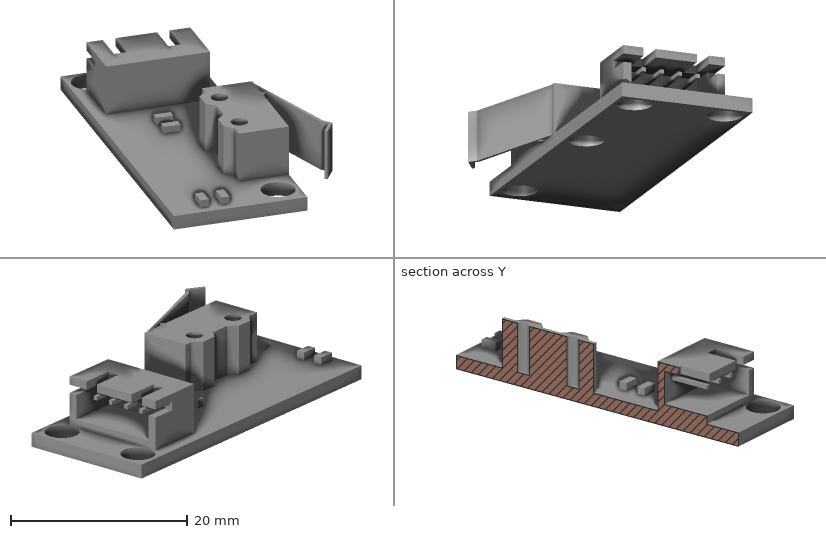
import cadquery as cq

board_length = 40
board_width = 16
board_thickness = 1.7
mount_hole_diameter = 4
mount_hole_inset = 2.5
middle_hole_x = 16.95
right_hole_x = 36.95

part_height = 6

connector_x = 4.5
connector_y = 1.55
connector_length = 7.0
connector_width = 12.5
connector_wall = 1.0
top_slot_length = 4
top_slot_width = 1.5
top_slot_offsets = (1.95, 8.5)
side_slot_length = 3.0
side_slot_height = 1.0
pin_size = 0.5
pin_pitch = 2.2
pin_count = 4
first_pin_offset = 2.9
pin_height = 3.75
pin_recess = 1.0

switch_x = 20.5
switch_length = 13.0
switch_depth = 6
bump_width = 4
bump_depth = 1.0
bump_offsets = (1.0, 7.5)
switch_hole_diameter = 2
switch_hole_offsets = (2.95, 9.95)
switch_hole_y = 11.1
button_x = 24
button_height = 0.5
lever_outline = [
    (21.15, board_width),
    (33.25, 20.2),
    (34.1, 21.0),
    (36.15, 19.7),
    (35.95, 19.45),
    (34.15, 20.5),
    (33.45, 19.85),
    (22.1, board_width),
]

chip_length = 2
chip_width = 1.0
chip_height = 1.0
upright_chip_corners = [(15.2, 6), (17.75, 6)]
flat_chip_corners = [(37.0, 3.5), (37.0, 6)]


def block(corner, size):
    """Box from its minimum corner and its X, Y, Z lengths."""
    return cq.Workplane("XY").box(*size, centered=False).translate(corner)


def on_board(outline):
    """Prism of full part height standing at board-top level."""
    plane = cq.Workplane("XY").workplane(offset=board_thickness)
    return plane.polyline(outline).close().extrude(part_height)


def make_board():
    far_y = board_width - mount_hole_inset
    hole_centres = [
        (mount_hole_inset, mount_hole_inset),
        (mount_hole_inset, far_y),
        (middle_hole_x, far_y),
        (right_hole_x, far_y),
    ]
    circles = cq.Workplane("XY").pushPoints(hole_centres).circle(mount_hole_diameter / 2)
    holes = circles.extrude(board_thickness)
    return block((0, 0, 0), (board_length, board_width, board_thickness)).cut(holes)


def make_connector():
    housing = block(
        (connector_x, connector_y, board_thickness),
        (connector_length, connector_width, part_height),
    )
    cavity_length = connector_length - connector_wall
    cavity = block(
        (connector_x, connector_y + connector_wall, board_thickness + connector_wall),
        (cavity_length, connector_width - 2 * connector_wall, part_height - 2 * connector_wall),
    )
    roof_z = board_thickness + part_height - connector_wall
    side_slots = block(
        (connector_x, connector_y, roof_z - side_slot_height),
        (side_slot_length, connector_width, side_slot_height),
    )
    housing = housing.cut(cavity).cut(side_slots)
    for offset in top_slot_offsets:
        top_slot = block(
            (connector_x, connector_y + offset, roof_z),
            (top_slot_length, top_slot_width, connector_wall),
        )
        housing = housing.cut(top_slot)

    pin_length = connector_length - pin_recess
    pin_z = board_thickness + pin_height - pin_size / 2
    for index in range(pin_count):
        pin_y = connector_y + first_pin_offset + index * pin_pitch - pin_size / 2
        pin = block((connector_x + pin_recess, pin_y, pin_z), (pin_length, pin_size, pin_size))
        housing = housing.union(pin)
    return housing


def make_switch():
    front_y = board_width - switch_depth
    body = block(
        (switch_x, front_y, board_thickness),
        (switch_length, switch_depth, part_height),
    )
    for offset in bump_offsets:
        left = switch_x + offset
        right = left + bump_width
        bump = on_board([
            (left, front_y),
            (left + bump_depth, front_y - bump_depth),
            (right - bump_depth, front_y - bump_depth),
            (right, front_y),
        ])
        body = body.union(bump)

    hole_centres = [(switch_x + offset, switch_hole_y) for offset in switch_hole_offsets]
    plane = cq.Workplane("XY").workplane(offset=board_thickness)
    holes = plane.pushPoints(hole_centres).circle(switch_hole_diameter / 2).extrude(part_height)

    button = on_board([
        (button_x - button_height, board_width),
        (button_x + button_height, board_width),
        (button_x, board_width + button_height),
    ])
    return body.cut(holes).union(button).union(on_board(lever_outline))


def make_chips():
    """List of the component blocks: upright ones run along Y, flat ones along X."""
    upright_size = (chip_width, chip_length, chip_height)
    flat_size = (chip_length, chip_width, chip_height)
    upright = [block((x, y, board_thickness), upright_size) for x, y in upright_chip_corners]
    flat = [block((x, y, board_thickness), flat_size) for x, y in flat_chip_corners]
    return upright + flat


result = make_board().union(make_connector()).union(make_switch())
for chip in make_chips():
    result = result.union(chip)